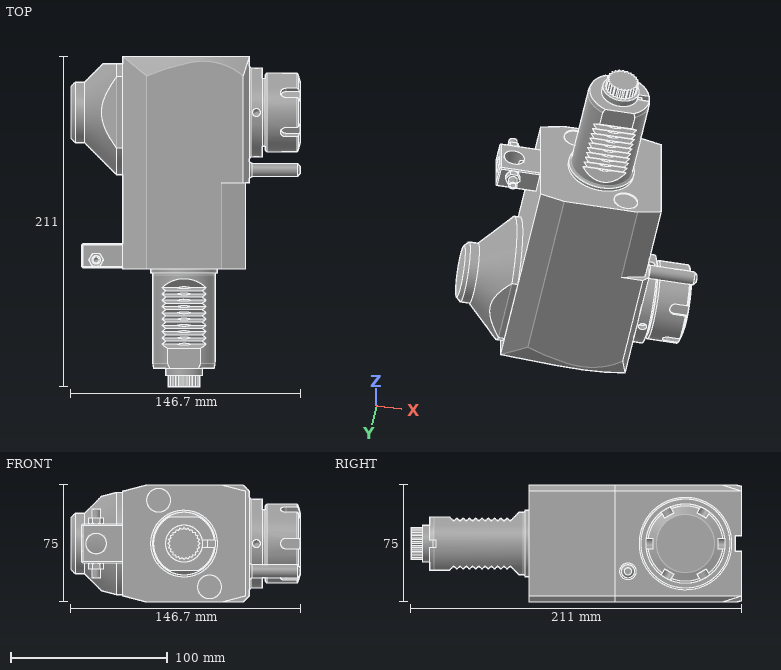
import cadquery as cq
import math


body_length = 135.9
body_height = 75.0
half_height = body_height / 2
half_width = 39.2
head_right = 41.8
step_y = 55.0
side_chamfer_run = 15.5
edge_drop = 4.0
shoulder_z = half_height - edge_drop
back_groove_width = 9.7
back_groove_depth = 4.0
overlap = 2.1

relief_spots = [(-21.5, 2.5), (-5.7, 1.5), (13.7, 0.8), (25.5, 1.5)]
relief_apex_y = 83.1
relief_front_y = 122.4

plug_x = 16.2
plug_z = 27.6
plug_radius = 7.5
plug_depth = 0.8

shank_radius = 20.0
shank_end = -63.3
shank_chamfer_length = 3.0
shank_chamfer_depth = 0.6
flange_length = 2.3
flange_fillet = 1.3
flange_radius = shank_radius + flange_fillet
flat_height = 17.0
tooth_root_height = 14.3
tooth_pitch = 4.0
tooth_count = 10
first_root_y = -11.8
core_radius = 15.0
slot_width = 4.9
slot_depth = 4.2
slot_core_depth = 2.1
drive_collar_radius = 11.8
drive_collar_end = -68.0
spline_end = -75.1
spline_tip_radius = 10.1
spline_root_radius = 9.0
spline_teeth = 24

spindle_y = 100.0
cover_radius = 39.9
cover_rim_x = -43.0
cover_nose_x = -63.5
cover_nose_radius = 19.5
cover_end_x = -72.2
cover_nose_chamfer = 2.7
cover_back_y = 131.2
cover_half_height = 32.7

collar_base_radius = 29.5
collar_radius = 28.5
collar_base_x = 42.6
collar_end_x = 50.0
neck_radius = 21.7
nut_start_x = 51.7
nut_end_x = 74.5
nut_radius = 25.3
nut_back_chamfer = 1.3
nut_face_radius = 18.5
nut_rim_radius = 24.0
nut_rim_x = 73.0
nut_shoulder_x = 72.2
nut_slot_count = 6
nut_slot_width = 6.8
nut_slot_floor = 20.7
nut_slot_start_x = 61.6
spanner_hole_count = 4
spanner_hole_x = 46.2
spanner_hole_radius = 2.5
spanner_hole_depth = 4.2

pin_y = 63.3
pin_z = -17.7
pin_radius = 4.2
pin_base_radius = 5.3
pin_base_length = 1.7
pin_end_x = 74.3
pin_tip_chamfer = 2.0

block_left = -65.5
block_front = 0.8
block_depth = 15.5
block_half_height = 12.5
block_chamfer = 0.8
bore_x = -56.1
bore_radius = 6.5
inlet_y = 8.5
inlet_radius = 4.9
inlet_depth = 19.0
inlet_outlet_radius = 1.5
inlet_outlet_depth = 4.2
nozzle_y = 6.0
hex_flats = 8.2
hex_height = 3.8
nozzle_radius = 2.7
nozzle_bore_radius = 2.0
nozzle_bore_depth = 6.3
nozzle_tip_z = 22.0


def box(x_range, y_range, z_range):
    """Box between two limits along each axis."""
    size = [high - low for low, high in (x_range, y_range, z_range)]
    return cq.Workplane("XY").box(*size, centered=False).translate((x_range[0], y_range[0], z_range[0]))


def cylinder(start, direction, radius, length):
    return cq.Workplane(cq.Solid.makeCylinder(radius, length, cq.Vector(*start), cq.Vector(*direction)))


def cone(start, direction, start_radius, end_radius, length):
    return cq.Workplane(
        cq.Solid.makeCone(start_radius, end_radius, length, cq.Vector(*start), cq.Vector(*direction))
    )


def turned_about_spindle(outline):
    """Revolve (x, radius) points about the spindle axis, which is parallel to X."""
    points = [(x, spindle_y + radius) for x, radius in outline]
    profile = cq.Workplane("XY").polyline(points).close()
    return profile.revolve(360, (0, spindle_y, 0), (1, spindle_y, 0))


def bar_along_y(right, chamfer_run, y_start, y_end):
    """Body section with flat chamfers on all four long edges."""
    left_top = -half_width + side_chamfer_run
    right_top = right - chamfer_run
    upper = [
        (-half_width, shoulder_z),
        (left_top, half_height),
        (right_top, half_height),
        (right, shoulder_z),
    ]
    lower = [(x, -z) for x, z in reversed(upper)]
    section = cq.Workplane("XZ", origin=(0, y_start, 0)).polyline(upper + lower).close()
    return section.extrude(y_start - y_end)


def rear_relief():
    """Cone-like relief of the top rear edge; its apex is where the extended chamfers meet."""
    slope = edge_drop / side_chamfer_run
    apex_x = (head_right - slope * half_width) / (1 + slope)
    apex_z = shoulder_z + head_right - apex_x
    crest_z = half_height + overlap
    curve = [(x, half_height - drop) for x, drop in relief_spots] + [(head_right, shoulder_z)]

    def section(y):
        shrink = (y - relief_apex_y) / (body_length - relief_apex_y)

        def toward_apex(point):
            return (apex_x + shrink * (point[0] - apex_x), apex_z + shrink * (point[1] - apex_z))

        outline = (
            cq.Workplane("XZ", origin=(0, y, 0))
            .moveTo(*toward_apex((-half_width, shoulder_z)))
            .spline([toward_apex(point) for point in curve], includeCurrent=True)
            .lineTo(*toward_apex((head_right, crest_z)))
            .lineTo(*toward_apex((-half_width, crest_z)))
            .close()
        )
        return outline.val()

    return cq.Workplane(cq.Solid.makeLoft([section(body_length), section(relief_front_y)], True))


def make_body():
    front_part = bar_along_y(half_width, side_chamfer_run, 0, step_y)
    rear_part = bar_along_y(head_right, edge_drop, step_y, body_length)
    body = rear_part.union(front_part)
    relief = rear_relief()
    body = body.cut(relief).cut(relief.mirror("XY"))
    half_groove = back_groove_width / 2
    body = body.cut(
        box(
            (-half_width, head_right),
            (body_length - back_groove_depth, body_length),
            (-half_groove, half_groove),
        )
    )
    for side in (-1, 1):
        body = body.cut(cylinder((side * plug_x, 0, -side * plug_z), (0, 1, 0), plug_radius, plug_depth))
    return body


def toothed_flat():
    """Material removed above the clamping teeth and the end flat of the shank."""
    outer = shank_radius + overlap
    tooth_height = tooth_pitch / 2
    last_root_y = first_root_y - (tooth_count - 1) * tooth_pitch
    profile = [(first_root_y + outer - tooth_root_height, outer)]
    for index in range(tooth_count):
        root_y = first_root_y - index * tooth_pitch
        profile.append((root_y, tooth_root_height))
        if index < tooth_count - 1:
            profile.append((root_y - tooth_height, tooth_root_height + tooth_height))
    profile += [
        (last_root_y - (flat_height - tooth_root_height), flat_height),
        (shank_end, flat_height),
        (shank_end, outer),
    ]
    return cq.Workplane("YZ").polyline(profile).close().extrude(shank_radius, both=True)


def make_spline():
    outline = []
    for index in range(2 * spline_teeth):
        radius = spline_tip_radius if index % 2 == 0 else spline_root_radius
        angle = math.pi * index / spline_teeth
        outline.append((radius * math.cos(angle), radius * math.sin(angle)))
    start_y = drive_collar_end + overlap
    return cq.Workplane("XZ", origin=(0, start_y, 0)).polyline(outline).close().extrude(start_y - spline_end)


def make_shank():
    profile = (
        cq.Workplane("XY")
        .moveTo(0, overlap)
        .lineTo(flange_radius, overlap)
        .lineTo(flange_radius, -flange_length)
        .radiusArc((shank_radius, -flange_length - flange_fillet), -flange_fillet)
        .lineTo(shank_radius, shank_end + shank_chamfer_length)
        .lineTo(shank_radius - shank_chamfer_depth, shank_end)
        .lineTo(0, shank_end)
        .close()
    )
    shank = profile.revolve(360, (0, 0, 0), (0, 1, 0))
    flat = toothed_flat()
    shank = shank.cut(flat).cut(flat.mirror("XY"))
    half_slot = slot_width / 2
    slot = box((0, shank_radius), (shank_end, shank_end + slot_depth), (-half_slot, half_slot))
    shank = shank.cut(slot)
    core = cylinder((0, 0, 0), (0, -1, 0), core_radius, -shank_end)
    core = core.cut(box((0, core_radius), (shank_end, shank_end + slot_core_depth), (-half_slot, half_slot)))
    drive_collar = cylinder((0, 0, 0), (0, -1, 0), drive_collar_radius, -drive_collar_end)
    return shank.union(core).union(drive_collar).union(make_spline())


def make_cover():
    root_x = -half_width + overlap
    cover = turned_about_spindle(
        [
            (root_x, 0),
            (root_x, cover_radius),
            (cover_rim_x, cover_radius),
            (cover_nose_x, cover_nose_radius),
            (cover_end_x + cover_nose_chamfer, cover_nose_radius),
            (cover_end_x, cover_nose_radius - cover_nose_chamfer),
            (cover_end_x, 0),
        ]
    )
    slope_end_z = cover_half_height - (cover_rim_x - cover_end_x) * edge_drop / side_chamfer_run
    upper = [(root_x, cover_half_height), (cover_rim_x, cover_half_height), (cover_end_x, slope_end_z)]
    lower = [(x, -z) for x, z in reversed(upper)]
    envelope = cq.Workplane("XZ", origin=(0, cover_back_y, 0)).polyline(upper + lower).close()
    return cover.intersect(envelope.extrude(body_length))


def make_collet():
    collet = turned_about_spindle(
        [
            (head_right - overlap, 0),
            (head_right - overlap, collar_base_radius),
            (head_right, collar_base_radius),
            (collar_base_x, collar_radius),
            (collar_end_x, collar_radius),
            (collar_end_x, neck_radius),
            (nut_start_x, neck_radius),
            (nut_start_x, nut_radius - nut_back_chamfer),
            (nut_start_x + nut_back_chamfer, nut_radius),
            (nut_shoulder_x, nut_radius),
            (nut_rim_x, nut_rim_radius),
            (nut_end_x, nut_face_radius),
            (nut_end_x, 0),
        ]
    )
    axis_start = (0, spindle_y, 0)
    axis_end = (1, spindle_y, 0)

    half_slot = nut_slot_width / 2
    slot_center_x = nut_slot_start_x + half_slot
    slot_bottom_y = spindle_y - nut_slot_floor
    slot_top_y = spindle_y - nut_radius - overlap
    nut_slot = box((slot_center_x, nut_end_x), (slot_top_y, slot_bottom_y), (-half_slot, half_slot))
    nut_slot = nut_slot.union(
        cylinder((slot_center_x, slot_top_y, 0), (0, 1, 0), half_slot, slot_bottom_y - slot_top_y)
    )
    for index in range(nut_slot_count):
        collet = collet.cut(nut_slot.rotate(axis_start, axis_end, index * 360 / nut_slot_count))

    hole_floor_y = spindle_y - collar_radius + spanner_hole_depth
    hole_floor = (spanner_hole_x, hole_floor_y, 0)
    hole = cylinder(hole_floor, (0, -1, 0), spanner_hole_radius, spanner_hole_depth + overlap)
    hole = hole.union(cone(hole_floor, (0, 1, 0), spanner_hole_radius, 0, spanner_hole_radius))
    for index in range(spanner_hole_count):
        collet = collet.cut(hole.rotate(axis_start, axis_end, index * 360 / spanner_hole_count))
    return collet


def make_pin():
    root_x = head_right - overlap
    pin = cylinder((root_x, pin_y, pin_z), (1, 0, 0), pin_radius, pin_end_x - root_x)
    pin = pin.faces(">X").chamfer(pin_tip_chamfer)
    base = cone((head_right, pin_y, pin_z), (1, 0, 0), pin_base_radius, pin_radius, pin_base_length)
    return pin.union(base)


def make_nozzle():
    """Upper coolant nozzle: a hexagon with a short tube; the hexagon corners taper toward the block."""
    hex_corners = hex_flats / math.cos(math.pi / 6)
    seat_radius = hex_flats / 2
    foot = (bore_x, nozzle_y, block_half_height)
    tip = (bore_x, nozzle_y, nozzle_tip_z)
    nozzle = cq.Workplane("XY", origin=foot).polygon(6, hex_corners).extrude(hex_height)
    nozzle = nozzle.intersect(cone(foot, (0, 0, 1), seat_radius, seat_radius + hex_height, hex_height))
    nozzle = nozzle.union(cylinder(foot, (0, 0, 1), nozzle_radius, nozzle_tip_z - block_half_height))
    return nozzle.cut(cone(tip, (0, 0, -1), nozzle_bore_radius, 0, nozzle_bore_depth))


def make_coolant_block():
    block_back = block_front + block_depth
    block = box(
        (block_left, -half_width),
        (block_front, block_back),
        (-block_half_height, block_half_height),
    )
    block = block.faces("<X").edges().chamfer(block_chamfer)
    block = block.edges("|X").chamfer(block_chamfer)
    bore = cylinder((bore_x, block_front, 0), (0, 1, 0), bore_radius, block_depth)
    inlet = cylinder((block_left, inlet_y, 0), (1, 0, 0), inlet_radius, inlet_depth)
    inlet = inlet.union(
        cylinder((block_left, inlet_y, 0), (1, 0, 0), inlet_outlet_radius, inlet_depth + inlet_outlet_depth)
    )
    nozzle = make_nozzle()
    return block.cut(bore).cut(inlet).union(nozzle).union(nozzle.mirror("XY"))


result = make_body()
for component in (make_shank(), make_cover(), make_collet(), make_pin(), make_coolant_block()):
    result = result.union(component)